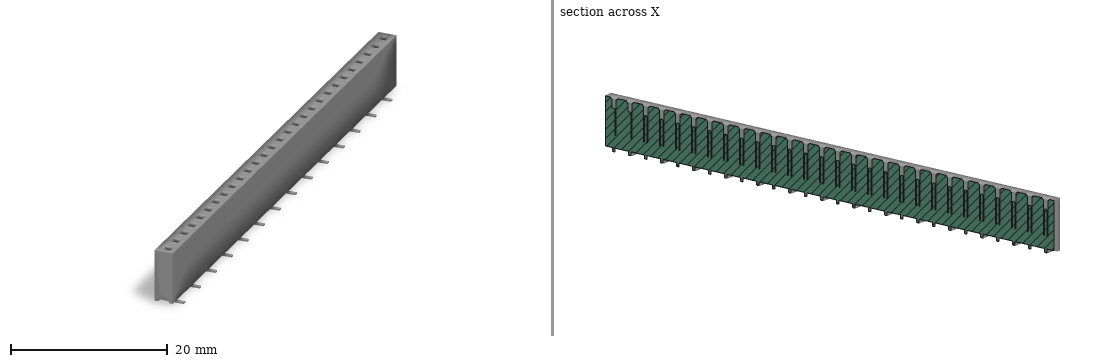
import cadquery as cq

pin_count = 28
pitch = 2.54
end_margin = 0.1
overall_height = 7.4

body_width = pitch
body_length = pin_count * pitch + 2 * end_margin
standoff = 0.3
channel_width = 1.5
channel_depth = 0.3

funnel_size = 1.2
hole_size = 0.6
funnel_depth = (funnel_size - hole_size) / 2
hole_depth = 5.0

lead_width = 0.5
lead_thickness = 0.2
lead_span = 4.64
bend_inner_radius = 0.1
bend_outer_radius = bend_inner_radius + lead_thickness
stem_top = 6.0


def make_housing():
    """Plain bar with a shallow channel along its underside."""
    underside = cq.Workplane("XY", origin=(0, 0, standoff))
    body = underside.rect(body_width, body_length).extrude(overall_height - standoff)
    channel = underside.rect(channel_width, body_length).extrude(channel_depth)
    return body.cut(channel)


def make_socket(y):
    """Volume removed by one socket."""
    top = cq.Workplane("XY", origin=(0, y, overall_height))
    funnel = (
        top.rect(funnel_size, funnel_size)
        .workplane(offset=-funnel_depth)
        .rect(hole_size, hole_size)
        .loft(ruled=True)
    )
    hole = top.rect(hole_size, hole_size).extrude(-hole_depth)
    return funnel.union(hole)


def make_lead(y, side):
    """One bent lead; side (-1 or +1) is the X direction in which its foot points."""
    toe = lead_span / 2
    stem_back = -lead_thickness / 2
    stem_front = lead_thickness / 2
    lead = (
        cq.Workplane("XZ")
        .moveTo(toe, 0)
        .lineTo(stem_back + bend_outer_radius, 0)
        .radiusArc((stem_back, bend_outer_radius), bend_outer_radius)
        .lineTo(stem_back, stem_top)
        .lineTo(stem_front, stem_top)
        .lineTo(stem_front, bend_outer_radius)
        .radiusArc((stem_front + bend_inner_radius, lead_thickness), -bend_inner_radius)
        .lineTo(toe, lead_thickness)
        .close()
        .extrude(lead_width / 2, both=True)
    )
    if side < 0:
        lead = lead.mirror("YZ")
    return lead.translate((0, y, 0))


first_pin_y = (pin_count - 1) * pitch / 2
pin_positions = [first_pin_y - i * pitch for i in range(pin_count)]

result = make_housing()
for pin_y in pin_positions:
    result = result.cut(make_socket(pin_y))
for index, pin_y in enumerate(pin_positions):
    foot_side = -1 if index % 2 == 0 else 1
    result = result.union(make_lead(pin_y, foot_side))